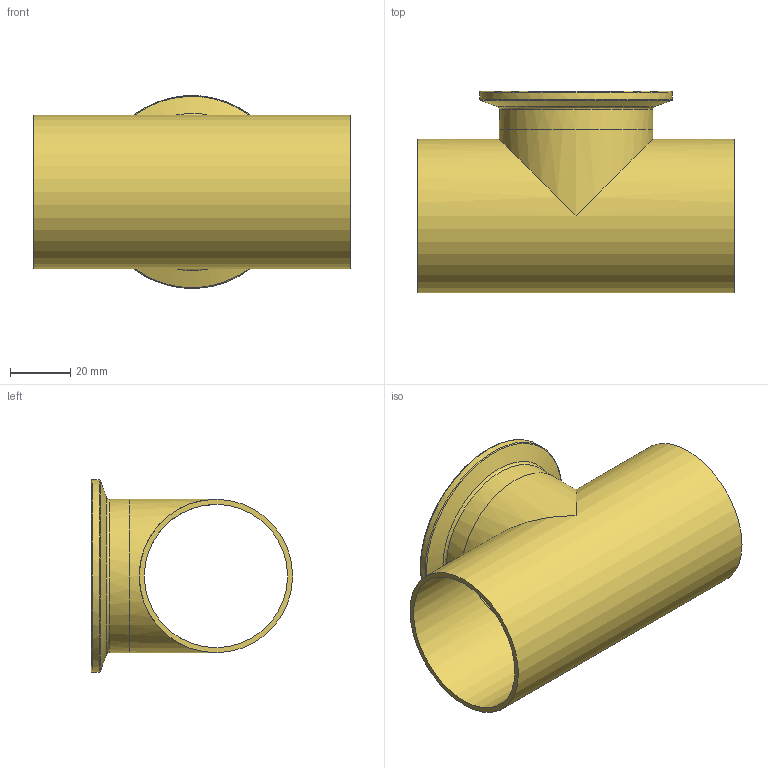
import cadquery as cq
import math

tube_od = 50.8
wall = 1.65
tube_radius = tube_od / 2
bore_radius = tube_radius - wall
run_length = 104.775

branch_face = 41.275
ferrule_length = 12.7
weld_seam = branch_face - ferrule_length

flange_radius = 63.91 / 2
rim_width = 2.85
clamp_angle = 20
rim_round = 0.4
neck_fillet = 1.0
cone_depth = (flange_radius - tube_radius) * math.tan(math.radians(clamp_angle))


def run_cylinder(radius):
    """Cylinder along X, centred on the origin."""
    return cq.Workplane("YZ", origin=(-run_length / 2, 0, 0)).circle(radius).extrude(run_length)


def branch_cylinder(radius, length):
    """Cylinder along +Y, starting on the run axis."""
    return cq.Workplane("XZ").circle(radius).extrude(-length)


def edges_at(y):
    """Selector for the full circles lying at height y along the branch."""
    tolerance = 0.01
    reach = flange_radius + 1
    return cq.selectors.BoxSelector(
        (-reach, y - tolerance, -reach), (reach, y + tolerance, reach), boundingbox=True
    )


def ferrule():
    """Solid ferrule: neck, conical clamp face and rounded rim."""
    rim_back = branch_face - rim_width
    cone_foot = rim_back - cone_depth
    body = (
        cq.Workplane("XY")
        .moveTo(0, weld_seam)
        .lineTo(tube_radius, weld_seam)
        .lineTo(tube_radius, cone_foot)
        .lineTo(flange_radius, rim_back)
        .lineTo(flange_radius, branch_face)
        .lineTo(0, branch_face)
        .close()
        .revolve(360, (0, 0), (0, 1))
    )
    body = body.edges(edges_at(cone_foot)).fillet(neck_fillet)
    for y in (rim_back, branch_face):
        body = body.edges(edges_at(y)).fillet(rim_round)
    return body


outside = run_cylinder(tube_radius).union(branch_cylinder(tube_radius, weld_seam), clean=False)
outside = outside.union(ferrule(), clean=False)

result = outside.cut(run_cylinder(bore_radius), clean=False)
result = result.cut(branch_cylinder(bore_radius, branch_face), clean=False)